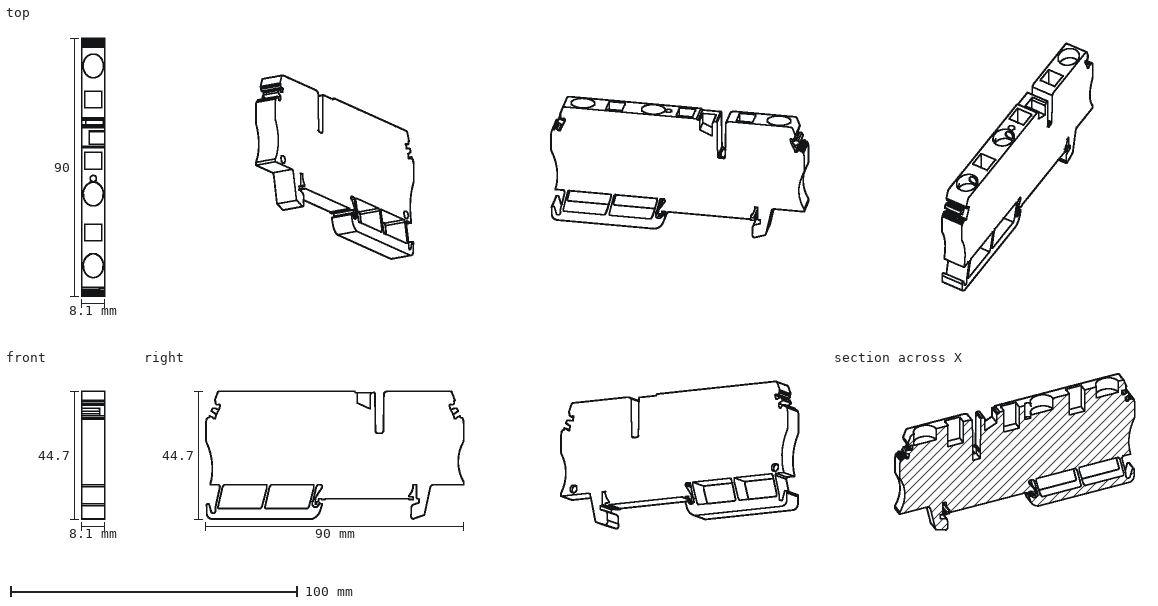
import cadquery as cq
width = 8.1
length = 90.0
height = 44.7

half_width = width / 2
half_length = length / 2
overlap = 0.5

base_z = 11.95
rail_face_z = 7.1
end_flat_bottom_z = 27.4
short_base_y = -43.4

slot_center_y = 15.57
slot_bottom_z = 30.05
slot_half_upper = 1.52
slot_half_lower = 1.34
slot_corner = 0.5
land_z = height - 0.55
ridge_z = land_z + 0.05
ridge_end_y = 12.75
land_end_y = 7.3
slot_pocket_size = (6.1, 2 * slot_half_lower)
slot_pocket_center_x = 0.35
slot_pocket_depth = 3.0

side_pocket_x = -1.4
side_pocket_y = (7.9, 12.3)
side_pocket_lip_z = 43.2
side_pocket_floor_z = (40.5, 38.5)

tooth_end_x = 2.25

screw_hole_centers_y = (35.3, -9.4, -34.4)
bored_hole_centers_y = screw_hole_centers_y[1:]
screw_hole_size = (7.1, 8.3)
screw_hole_depth = 4.7
side_bore_radius = 1.5
side_bore_drop = 2.5
entry_centers_y = (23.6, 2.2, -22.8)
entry_size = 5.8
entry_depth = 9.0
test_hole_y = -4.0
test_hole_diameter = 2.2
test_hole_depth = 6.0

locating_hole_y = 40.0
locating_hole_z = 14.05
locating_hole_diameter = 2.7
locating_hole_depth = 1.5

foot_top_z = 3.75
window_pitch = 16.4
window_count = 2
window_corner = 0.4


def plate():
    """Workplane on the -X face, drawn in (Y, Z)."""
    return cq.Workplane("YZ", origin=(-half_width, 0, 0))


def slab(points):
    """Full-width prism over a polygon in (Y, Z)."""
    return plate().polyline(points).close().extrude(width)


def top_face():
    return cq.Workplane("XY", origin=(0, 0, height))


def mirror_point(point):
    """Same point on the -Y end."""
    return (-point[0], point[1])


def mirrored(points):
    """Same points on the -Y end, in reverse order."""
    return [mirror_point(point) for point in reversed(points)]


end_corner_start = (40.0, height)
end_corner_mid = (40.55, 44.55)
end_corner_end = (40.9, 44.2)
groove_top = (40.0, 39.75)
groove_bottom = (40.35, 38.4)
tooth_top = [(41.0, 38.4), (41.8, 38.75), (42.55, 38.75)]
tooth_tip = (43.1, 37.7)
tooth_bottom = [(41.9, 36.85), (41.45, 36.7)]
tooth_root_end = (41.5, 36.1)
shoulder = [
    (41.75, 35.1), (42.3, 35.15), (42.9, 35.75), (43.3, 35.75), (43.65, 36.1),
    (43.9, 35.45), (44.4, 35.4), (44.75, 34.9),
]
shoulder_arc_mid = (44.93, 34.2)
shoulder_arc_end = (half_length, 33.4)
lip = [
    (41.95, 41.4), (41.65, 41.15), (41.75, 40.5), (41.2, 39.9), (40.7, 39.85),
    (40.4, 40.1),
]
end_outline = (
    [end_corner_end] + lip + [groove_top, groove_bottom] + tooth_top + [tooth_tip]
    + tooth_bottom + [tooth_root_end] + shoulder
)


def housing():
    grip_top = (44.85, 26.9)
    long_grip_mid = (43.1, 20.2)
    long_grip_bottom = (half_length, 13.0)
    short_grip_mid = (-43.0, 20.8)
    short_grip_narrow = (-42.82, 16.4)
    short_heel_mid = (-43.0, 14.3)
    short_heel_bottom = (short_base_y, 12.5)
    return (
        plate()
        .moveTo(*end_corner_start)
        .threePointArc(end_corner_mid, end_corner_end)
        .polyline(end_outline[1:], includeCurrent=True)
        .threePointArc(shoulder_arc_mid, shoulder_arc_end)
        .lineTo(half_length, end_flat_bottom_z)
        .lineTo(*grip_top)
        .threePointArc(long_grip_mid, long_grip_bottom)
        .lineTo(half_length, base_z)
        .lineTo(short_base_y, base_z)
        .lineTo(*short_heel_bottom)
        .threePointArc(short_heel_mid, short_grip_narrow)
        .threePointArc(short_grip_mid, mirror_point(grip_top))
        .lineTo(-half_length, end_flat_bottom_z)
        .lineTo(*mirror_point(shoulder_arc_end))
        .threePointArc(mirror_point(shoulder_arc_mid), mirror_point(end_outline[-1]))
        .polyline(mirrored(end_outline)[1:], includeCurrent=True)
        .threePointArc(mirror_point(end_corner_mid), mirror_point(end_corner_start))
        .close()
        .extrude(width)
    )


def bridge_slot():
    """Drafted slot from the top face, with a rounded mouth and a lowered land on its -Y side."""
    left_wall = slot_center_y + slot_half_upper
    right_wall = slot_center_y - slot_half_upper
    left_low = slot_center_y + slot_half_lower
    right_low = slot_center_y - slot_half_lower
    corner_z = slot_bottom_z + slot_corner
    mouth_bottom_z = height - 0.75
    ridge_corner = 0.3
    return (
        plate()
        .moveTo(left_wall + 1.5, height)
        .threePointArc((left_wall + 0.55, height - 0.3), (left_wall + 0.05, mouth_bottom_z))
        .lineTo(left_wall, mouth_bottom_z - 0.3)
        .lineTo(left_low, corner_z)
        .lineTo(left_low - slot_corner, slot_bottom_z)
        .lineTo(right_low + slot_corner, slot_bottom_z)
        .lineTo(right_low, corner_z)
        .lineTo(right_wall, ridge_z - ridge_corner)
        .lineTo(right_wall - ridge_corner, ridge_z)
        .lineTo(ridge_end_y, land_z)
        .lineTo(land_end_y, land_z)
        .lineTo(land_end_y - (height - land_z), height)
        .close()
        .extrude(width)
    )


def slot_floor_pocket():
    return (
        cq.Workplane("XY", origin=(slot_pocket_center_x, slot_center_y, slot_bottom_z))
        .rect(*slot_pocket_size)
        .extrude(-slot_pocket_depth)
    )


def side_pocket():
    """Pocket with a floor that falls towards +Y and a wall that flares out to the ridge."""
    near_y, far_y = side_pocket_y
    near_z, far_z = side_pocket_floor_z
    return (
        cq.Workplane("YZ", origin=(side_pocket_x, 0, 0))
        .polyline([
            (near_y, near_z), (far_y, far_z), (far_y, side_pocket_lip_z),
            (ridge_end_y, land_z), (ridge_end_y, height), (near_y, height),
        ])
        .close()
        .extrude(half_width - side_pocket_x)
    )


def tooth_cut(side):
    """Removes a marker tooth beyond tooth_end_x, down to the slope of its root."""
    outline = [groove_bottom] + tooth_top + [tooth_tip] + tooth_bottom + [tooth_root_end]
    return (
        cq.Workplane("YZ", origin=(tooth_end_x, 0, 0))
        .polyline([(side * y, z) for y, z in outline])
        .close()
        .extrude(half_width - tooth_end_x)
    )


def screw_hole(center_y):
    across, along = screw_hole_size
    return top_face().center(0, center_y).ellipse(across / 2, along / 2).extrude(-screw_hole_depth)


def side_bore(center_y):
    """Bore along Y that spot-faces the curved +Y wall of a screw hole flat at its crown."""
    end_y = center_y + screw_hole_size[1] / 2
    return (
        cq.Workplane("XZ", origin=(0, end_y, height - side_bore_drop))
        .circle(side_bore_radius)
        .extrude(end_y - center_y)
    )


def conductor_entry(center_y):
    return top_face().center(0, center_y).rect(entry_size, entry_size).extrude(-entry_depth)


def test_hole():
    return top_face().center(0, test_hole_y).circle(test_hole_diameter / 2).extrude(-test_hole_depth)


def locating_hole(center_y):
    return (
        plate()
        .center(center_y, locating_hole_z)
        .circle(locating_hole_diameter / 2)
        .extrude(locating_hole_depth)
    )


def rail_block():
    """Block under the housing, with a catch at its +Y end and a snap tongue at its -Y end."""
    top_z = base_z + overlap
    catch = [
        (27.35, top_z), (27.35, 11.0), (26.9, 9.6), (25.95, 8.2), (25.95, 7.85), (27.1, 7.85),
        (27.45, 7.6), (27.45, 6.8), (26.0, 6.8), (25.8, rail_face_z),
    ]
    tongue = [
        (-3.2, rail_face_z), (-3.5, 6.8), (-4.5, 6.8), (-4.7, rail_face_z), (-5.55, rail_face_z),
        (-5.65, 6.2), (-6.35, 5.9), (-6.35, 5.15), (-6.9, 5.15), (-6.9, 6.5), (-6.65, 7.7),
        (-4.4, 11.15), (-4.4, 11.5), (-4.8, base_z), (-4.8, top_z),
    ]
    return slab(catch + tongue)


def fixed_foot():
    """Hooked foot that grips the +Y edge of the rail."""
    top_z = base_z + overlap
    return (
        plate()
        .moveTo(28.5, top_z)
        .lineTo(34.1, top_z)
        .lineTo(34.1, base_z)
        .threePointArc((33.6, 11.6), (33.3, 10.9))
        .lineTo(31.4, 1.9)
        .lineTo(31.15, 1.4)
        .lineTo(27.3, 0.05)
        .threePointArc((26.75, 0.4), (26.6, 1.7))
        .lineTo(26.6, 3.8)
        .threePointArc((26.85, 4.6), (27.5, 5.15))
        .lineTo(29.35, 5.75)
        .lineTo(29.35, 7.05)
        .lineTo(28.8, 7.05)
        .lineTo(28.5, 7.4)
        .close()
        .extrude(width)
    )


def spring_foot():
    """Long foot hung from the housing on three slanted ribs, hooked at both ends."""
    top_z = base_z + overlap
    return (
        plate()
        .moveTo(-6.0, top_z)
        .lineTo(-6.0, base_z)
        .lineTo(-6.4, 11.3)
        .lineTo(-7.55, 6.3)
        .lineTo(-7.8, 6.0)
        .lineTo(-7.8, 4.95)
        .lineTo(-7.2, 4.3)
        .lineTo(-6.25, 4.3)
        .lineTo(-5.55, 5.1)
        .lineTo(-5.45, 5.75)
        .lineTo(-5.0, 5.4)
        .lineTo(-4.45, 5.4)
        .lineTo(-4.45, 4.9)
        .lineTo(-5.1, 2.8)
        .threePointArc((-6.2, 1.1), (-8.0, 0))
        .lineTo(-42.6, 0)
        .threePointArc((-44.1, 0.6), (-44.75, 2.0))
        .lineTo(-44.75, 4.6)
        .threePointArc((-44.25, 5.4), (-43.75, 5.0))
        .lineTo(-43.15, 2.8)
        .threePointArc((-42.4, 2.1), (-41.7, 2.8))
        .lineTo(-41.65, 4.3)
        .lineTo(-40.1, 11.3)
        .lineTo(-40.45, base_z)
        .lineTo(-40.45, top_z)
        .close()
        .extrude(width)
    )


def foot_window(index):
    """Slanted opening between two ribs of the spring foot."""
    shift = -index * window_pitch
    outline = [
        (-7.35, base_z), (-7.35, 10.9), (-9.0, 4.55), (-9.5, foot_top_z),
        (-24.4, foot_top_z), (-22.75, 11.2), (-22.2, base_z),
    ]
    points = [(y + shift, z) for y, z in outline]
    lower_corner = cq.selectors.NearestToPointSelector((0, outline[4][0] + shift, foot_top_z))
    return slab(points).edges("|X").edges(lower_corner).fillet(window_corner)


body = housing().cut(bridge_slot()).union(rail_block()).union(fixed_foot()).union(spring_foot())

for window_index in range(window_count):
    body = body.cut(foot_window(window_index))

body = body.cut(slot_floor_pocket()).cut(side_pocket()).cut(test_hole())

for end_side in (1, -1):
    body = body.cut(tooth_cut(end_side)).cut(locating_hole(end_side * locating_hole_y))

for hole_y in screw_hole_centers_y:
    body = body.cut(screw_hole(hole_y))

for hole_y in bored_hole_centers_y:
    body = body.cut(side_bore(hole_y))

for entry_y in entry_centers_y:
    body = body.cut(conductor_entry(entry_y))

result = body